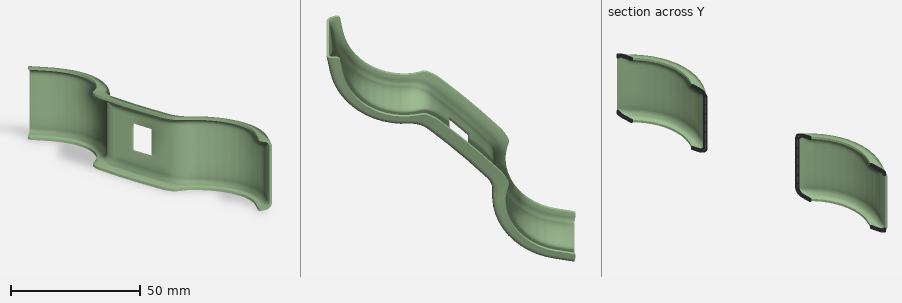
import cadquery as cq
import math

half_length = 68.0
full_width = 30.0
half_width = full_width / 2
sheet = 1.02

arch_x = 44.9
arch_radius = 29.1
plate_drop = 13.9
plate_bow_radius = 272.0
bend_radius = 9.4
tail_angle = math.radians(34.5)

plate_flange_depth = 7.2
arch_flange_depth = 5.2
flange_draft = math.radians(9.0)
outer_bend = 3.1
inner_bend = outer_bend - sheet

hole_side = 11.2
lug_corner_radius = 1.6
tip_corner_radius = 1.4


def polar(centre, radius, angle):
    """Point on a circle, angle in radians from +X."""
    return (centre[0] + radius * math.cos(angle), centre[1] + radius * math.sin(angle))


arch_centre = (arch_x, -arch_radius)
bow_centre = (0.0, plate_bow_radius - plate_drop)

arch_to_bend = arch_radius + bend_radius
bow_to_bend = plate_bow_radius - bend_radius
arch_to_bow = math.dist(arch_centre, bow_centre)
bow_direction = math.atan2(bow_centre[1] - arch_centre[1], bow_centre[0] - arch_centre[0])
angle_at_arch = math.acos(
    (arch_to_bend**2 + arch_to_bow**2 - bow_to_bend**2) / (2 * arch_to_bend * arch_to_bow)
)
arch_start = bow_direction + angle_at_arch
bend_centre = polar(arch_centre, arch_to_bend, arch_start)
bow_end = math.atan2(bend_centre[1] - bow_centre[1], bend_centre[0] - bow_centre[0])
arch_end = math.pi / 2 - tail_angle

tail_start = polar(arch_centre, arch_radius, arch_end)
tail_length = (half_length - tail_start[0]) / math.cos(tail_angle)
tail_end = polar(tail_start, tail_length, -tail_angle)

trim_radius = arch_radius - arch_flange_depth
lug_radius = bend_radius + plate_flange_depth
lug_turn = math.acos(
    (trim_radius**2 + arch_to_bend**2 - lug_radius**2) / (2 * trim_radius * arch_to_bend)
)
lug_corner = polar(arch_centre, trim_radius, arch_start + lug_turn)
tip_corner = polar(tail_end, arch_flange_depth, -tail_angle - math.pi / 2)


def mirrored(point):
    """The same point on the -X half."""
    return (-point[0], point[1])


def back_face_path():
    """Back face from the -X tail end to the +X tail end."""
    bow_start = polar(bow_centre, plate_bow_radius, bow_end)
    bend_middle = polar(bend_centre, bend_radius, (bow_end + arch_start - math.pi) / 2)
    bend_end = polar(arch_centre, arch_radius, arch_start)
    arch_middle = polar(arch_centre, arch_radius, (arch_start + arch_end) / 2)
    return (
        cq.Workplane("XY")
        .moveTo(*mirrored(tail_end))
        .lineTo(*mirrored(tail_start))
        .threePointArc(mirrored(arch_middle), mirrored(bend_end))
        .threePointArc(mirrored(bend_middle), mirrored(bow_start))
        .threePointArc((0, -plate_drop), bow_start)
        .threePointArc(bend_middle, bend_end)
        .threePointArc(arch_middle, tail_start)
        .lineTo(*tail_end)
    )


def channel_section():
    """U-shaped section square to the -X tail end, with flanges splaying outward."""
    splay = math.tan(flange_draft)
    wall = sheet / math.cos(flange_draft)
    web_outer = half_width - plate_flange_depth * splay
    web_inner = web_outer + sheet * splay - wall

    upper = [(plate_flange_depth, half_width - wall), (plate_flange_depth, half_width), (0, web_outer)]
    lower = [(depth, -z) for depth, z in reversed(upper)]
    outline = upper + lower + [(sheet, -web_inner), (sheet, web_inner)]
    wire = cq.Wire.makePolygon([cq.Vector(0, -depth, z) for depth, z in outline], close=True)
    for depth, radius in ((0, outer_bend), (sheet, inner_bend)):
        corners = [v for v in wire.Vertices() if math.isclose(v.Y, -depth, abs_tol=1.36e-06)]
        wire = wire.fillet2D(radius, corners)

    turned = wire.rotate(cq.Vector(0, 0, 0), cq.Vector(0, 0, 1), math.degrees(tail_angle))
    return turned.translate(cq.Vector(*mirrored(tail_end)))


def flange_trimmer():
    """Space below the shallow flange: a disc under the arch and a block under the tail."""
    height = 4 * half_width
    disc = cq.Workplane("XY").center(*arch_centre).circle(trim_radius).extrude(height / 2, both=True)
    block_length = 2 * tail_length
    block = (
        cq.Workplane("XY")
        .box(block_length, trim_radius, height, centered=(False, False, True))
        .rotate((0, 0, 0), (0, 0, 1), -math.degrees(tail_angle))
        .translate((*arch_centre, 0))
    )
    return disc.union(block)


def round_flange_corner(body, corner, radius):
    """Round the upright edges of both flanges at one XY corner."""
    edges = [
        edge
        for edge in body.edges("|Z").vals()
        if math.dist(edge.Center().toTuple()[:2], corner) < radius / 2
    ]
    return body.newObject(edges).fillet(radius)


clip = cq.Workplane("XY").add(channel_section()).toPending().sweep(back_face_path())
trimmer = flange_trimmer()
clip = clip.cut(trimmer).cut(trimmer.mirror("YZ"))

for corner, radius in ((lug_corner, lug_corner_radius), (tip_corner, tip_corner_radius)):
    clip = round_flange_corner(clip, corner, radius)
    clip = round_flange_corner(clip, mirrored(corner), radius)

hole = cq.Workplane("XY").box(hole_side, 4 * plate_drop, hole_side)
result = clip.cut(hole)